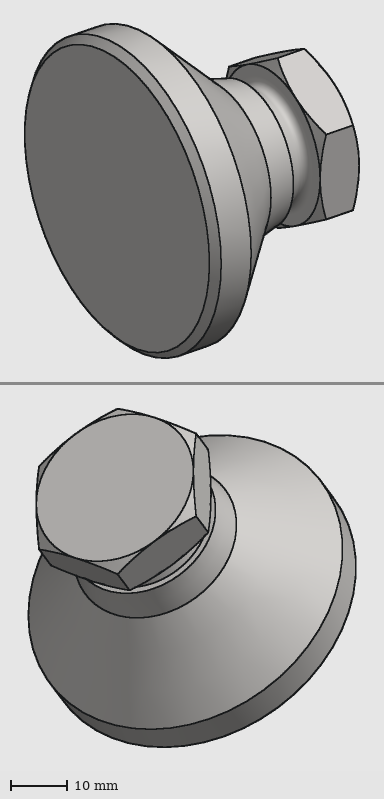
import cadquery as cq
import math


pad_radius = 60.0 / 2
sole_chamfer = 1.5
rim_top = 8.0
collar_base = 22.5
collar_top = 28.5
collar_taper = math.radians(15)
collar_base_radius = pad_radius - (collar_base - rim_top)
collar_top_radius = collar_base_radius - (collar_top - collar_base) * math.tan(collar_taper)

overall_height = 42.0
head_thickness = 8.5
head_across_flats = 30.0
head_chamfer = math.radians(30)
head_turn = 30
head_base = overall_height - head_thickness
head_corner_radius = head_across_flats / math.sqrt(3)
head_face_radius = head_across_flats / 2
head_chamfer_height = (head_corner_radius - head_face_radius) * math.tan(head_chamfer)

neck_radius = 11.25
groove_radius = 1.5
stem_taper = math.radians(25)
groove_center_radius = neck_radius + groove_radius
groove_center_height = head_base - groove_radius
cone_end_radius = groove_center_radius - groove_radius * math.cos(stem_taper)
cone_end_height = groove_center_height - groove_radius * math.sin(stem_taper)
stem_base_radius = cone_end_radius + (cone_end_height - collar_top) * math.tan(stem_taper)


def revolve_about_y(profile):
    """Turn a closed profile in the XY plane (x = radius, y = height) about the Y axis."""
    return profile.close().revolve(360, (0, 0, 0), (0, 1, 0))


def make_pad_and_stem():
    profile = (
        cq.Workplane("XY")
        .lineTo(pad_radius - sole_chamfer, 0)
        .lineTo(pad_radius, sole_chamfer)
        .lineTo(pad_radius, rim_top)
        .lineTo(collar_base_radius, collar_base)
        .lineTo(collar_top_radius, collar_top)
        .lineTo(stem_base_radius, collar_top)
        .lineTo(cone_end_radius, cone_end_height)
        .threePointArc(
            (neck_radius, groove_center_height),
            (groove_center_radius, head_base),
        )
        .lineTo(0, head_base)
    )
    return revolve_about_y(profile)


def make_head():
    prism = (
        cq.Workplane("XZ", origin=(0, head_base, 0))
        .transformed(rotate=(0, 0, head_turn))
        .polygon(6, 2 * head_corner_radius)
        .extrude(-head_thickness)
    )
    chamfer_envelope = revolve_about_y(
        cq.Workplane("XY")
        .moveTo(0, head_base)
        .lineTo(head_face_radius, head_base)
        .lineTo(head_corner_radius, head_base + head_chamfer_height)
        .lineTo(head_corner_radius, overall_height - head_chamfer_height)
        .lineTo(head_face_radius, overall_height)
        .lineTo(0, overall_height)
    )
    return prism.intersect(chamfer_envelope)


result = make_pad_and_stem().union(make_head())